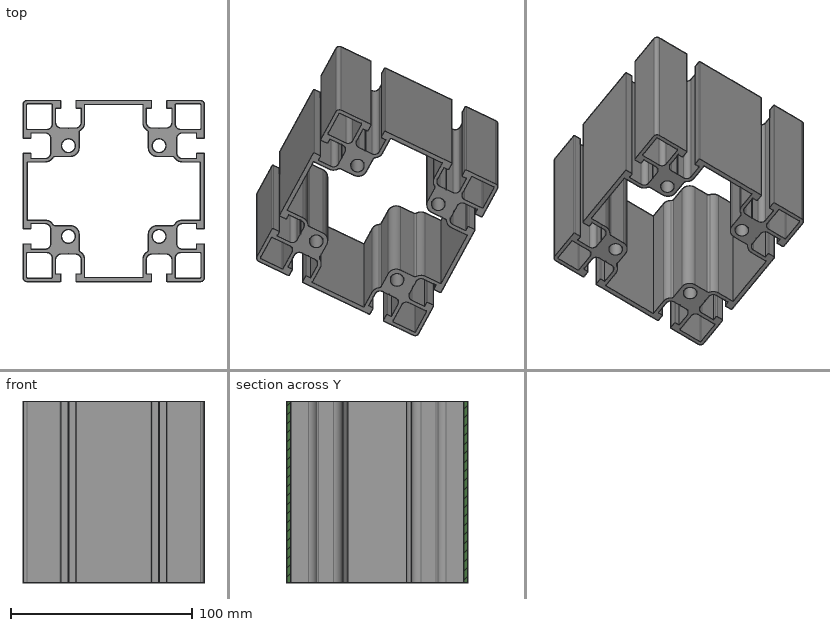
import cadquery as cq
import math

side = 100.0
length = 100.0
half = side / 2
corner_radius = 2.2

slot_center = half / 2
slot_opening = 8.2
lip_edge_radius = 0.5
lip_depth = 4.4
channel_width = 14.0
channel_floor_depth = 15.2
channel_floor_radius = 3.0
floor_groove_width = 0.5
floor_groove_depth = 0.25

channel_wall = 2.0
side_wall = 2.4
chamber_wall = 2.0

chamber_size = 14.0
chamber_inner_radius = 2.8
chamber_small_radius = 0.4

bore_diameter = 7.47
boss_depth = 31.0
boss_radius = 5.0
boss_blend_radius = 1.5

SIDE_ANGLES = (0, 90, 180, 270)


def box_from(x_min, y_min, x_max, y_max):
    """Full-length upright prism over a rectangle in the XY plane."""
    x_size = x_max - x_min
    y_size = y_max - y_min
    block = cq.Workplane("XY").box(x_size, y_size, length, centered=False)
    return block.translate((x_min, y_min, 0))


def for_each_side(shape):
    """Union of four copies of a shape, turned about the profile axis."""
    copies = cq.Workplane("XY")
    for angle in SIDE_ANGLES:
        copies = copies.union(shape.rotate((0, 0, 0), (0, 0, 1), angle))
    return copies


def channel_pair(extra):
    """Both channel envelopes of the +Y side, grown outward by a wall thickness."""
    reach = channel_width / 2 + extra
    floor_y = half - channel_floor_depth - extra
    pair = cq.Workplane("XY")
    for x in (-slot_center, slot_center):
        channel = box_from(x - reach, floor_y, x + reach, half - lip_depth)
        channel = channel.edges("|Z and <Y").fillet(channel_floor_radius + extra)
        pair = pair.union(channel)
    return pair


def outer_block():
    block = box_from(-half, -half, half, half)
    return block.edges("|Z").fillet(corner_radius)


def blend_bosses(cavity, boss_edge):
    """Round the creases where the boss flats meet the rounded channel walls."""
    wall_radius = channel_floor_radius + channel_wall
    arc_center_x = slot_center - channel_width / 2 + channel_floor_radius
    arc_center_y = half - channel_floor_depth + channel_floor_radius
    crease_y = arc_center_y - math.sqrt(wall_radius**2 - (arc_center_x - boss_edge) ** 2)
    creases = cavity.newObject([])
    for x_sign in (-1, 1):
        for y_sign in (-1, 1):
            for x, y in ((boss_edge, crease_y), (crease_y, boss_edge)):
                point = (x_sign * x, y_sign * y, length / 2)
                creases = creases.add(cavity.edges(cq.NearestToPointSelector(point)))
    return creases.fillet(boss_blend_radius)


def central_cavity():
    """Inner void left between the side walls, the channel walls and the bosses."""
    inside = half - side_wall
    cavity = box_from(-inside, -inside, inside, inside)
    boss_edge = half - boss_depth
    boss = box_from(boss_edge, boss_edge, half, half)
    boss = boss.edges("|Z and <X and <Y").fillet(boss_radius)
    walls = channel_pair(channel_wall)
    shoulder_edge = slot_center - channel_width / 2 - channel_wall
    shoulder = box_from(shoulder_edge, half - channel_floor_depth / 2, half, half)
    walls = walls.union(shoulder).union(shoulder.mirror("YZ"))
    cavity = cavity.cut(for_each_side(boss)).cut(for_each_side(walls))
    return blend_bosses(cavity, boss_edge)


def floor_groove():
    """Fine V-groove along the floor of one channel, centered on x = 0."""
    floor_y = half - channel_floor_depth
    half_width = floor_groove_width / 2
    tip = (0, floor_y - floor_groove_depth)
    outline = cq.Workplane("XY").polyline([(-half_width, floor_y), tip, (half_width, floor_y)])
    return outline.close().extrude(length)


def slots():
    """Channels, their outer openings and the fine groove along each floor."""
    half_opening = slot_opening / 2
    cutter = channel_pair(0)
    for x in (-slot_center, slot_center):
        opening = box_from(x - half_opening, half - channel_floor_depth / 2, x + half_opening, half)
        cutter = cutter.union(opening).union(floor_groove().translate((x, 0, 0)))
    return for_each_side(cutter)


def round_lips(profile):
    """Round the inner and outer edges of both lips of every slot."""
    edges = profile.newObject([])
    for angle in SIDE_ANGLES:
        turn = math.radians(angle)
        for x in (-slot_center, slot_center):
            for lip_x in (x - slot_opening / 2, x + slot_opening / 2):
                for lip_y in (half, half - lip_depth):
                    edge_x = lip_x * math.cos(turn) - lip_y * math.sin(turn)
                    edge_y = lip_x * math.sin(turn) + lip_y * math.cos(turn)
                    point = (edge_x, edge_y, length / 2)
                    edges = edges.add(profile.edges(cq.NearestToPointSelector(point)))
    return edges.fillet(lip_edge_radius)


def corner_chambers():
    outer = half - chamber_wall
    inner = outer - chamber_size
    chamber = box_from(inner, inner, outer, outer)
    chamber = chamber.edges("|Z and <X and <Y").fillet(chamber_inner_radius)
    chamber = chamber.edges("(|Z and >X) or (|Z and >Y)").fillet(chamber_small_radius)
    return for_each_side(chamber)


def screw_bores():
    bore = cq.Workplane("XY").circle(bore_diameter / 2).extrude(length)
    return for_each_side(bore.translate((slot_center, slot_center, 0)))


result = outer_block()
for void in (central_cavity(), slots(), corner_chambers(), screw_bores()):
    result = result.cut(void)
result = round_lips(result)